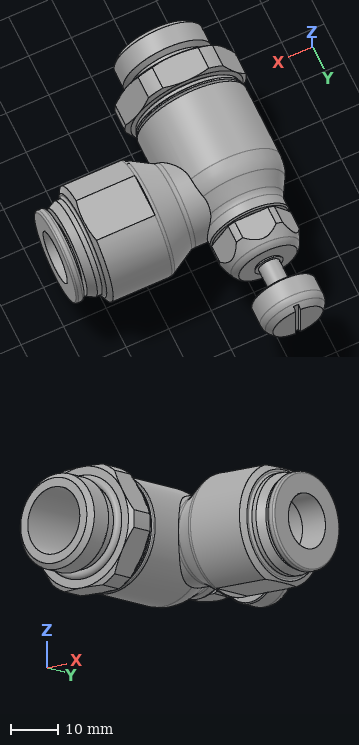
import cadquery as cq
import math


THREAD_R = 10.45
THREAD_NECK_R = 9.3
THREAD_TIP = 1.15
THREAD_TOP = 5.75
GROOVE_BOTTOM = 6.75
SEAL_SECTION_R = 1.0

HEX_BOTTOM = 9.0
HEX_TOP = 15.55
HEX_FLATS = 26.4
HEX_CORNER_R = 14.3
HEX_CHAMFER = 0.65

HEX_NECK_R = 11.6
STEP_BOTTOM = 15.9
STEP_R = 12.2
STEP_TOP = 16.8
BARREL_R = 12.9
BARREL_LEAD_R = 12.6
BARREL_LEAD_TOP = 17.25
BARREL_BEVEL_R = 12.8
BARREL_BEVEL_Y = 17.6
BARREL_BOTTOM = 18.0
BARREL_TOP = 35.3
SHOULDER_R = 11.7
SHOULDER_Y = 39.7
CONE_TOP_R = 9.8
CONE_TOP = 43.0
COLLAR_R = 9.3
COLLAR_BOTTOM = 44.6
COLLAR_TOP = 47.2
COLLAR_CHAMFER = 0.35

CAP_NECK_R = 7.7
CAP_BOTTOM = 47.65
CAP_FLATS = 17.05
CAP_CORNER_R = 9.4
CAP_CONE_BOTTOM = 51.75
CAP_CONE_R = 8.1
CAP_CONE_TOP = 54.7
CAP_TOP_R = 6.9
CAP_TOP = 56.0

STEM_RING_BOTTOM_R = 3.0
STEM_RING_R = 3.35
STEM_RING_TOP = 56.5
STEM_R = 2.5
KNOB_R = 7.5
KNOB_BOTTOM = 63.5
KNOB_CHAMFER = 0.3
KNOB_SIDE_TOP = 67.95
KNOB_BEND_R = 7.0
KNOB_BEND_Y = 69.65
KNOB_TOP_R = 5.9
KNOB_TOP = 71.0
SLOT_WIDTH = 1.15
SLOT_DEPTH = 0.9

PORT_Y = 35.6
PORT_NECK_R = 9.9
PORT_NECK_END = 12.1
PORT_CONE_START = 13.1
PORT_CONE_START_R = 10.15
PORT_CONE_END = 18.5
PORT_CONE_END_R = 13.3
PORT_R = 13.5
PORT_START = 19.3
PORT_END = 33.1
PORT_FLATS = 25.0
PORT_FACE = 33.95
PORT_FACE_R = 12.1
PORT_ROOT_R = 11.6
SLEEVE_R = 11.15
SLEEVE_START = 34.6
SLEEVE_END = 35.7
SLEEVE_TIP = 37.6
SLEEVE_TIP_R = 10.15
COLLET_NECK_R = 7.5
COLLET_BACK = 38.4
COLLET_BACK_ROUND = 0.65
COLLET_R = 10.8
COLLET_FRONT_ROUND = 0.4
COLLET_FRONT = 40.4

BORE_R = 7.3
BORE_TIP = 3.4
TUBE_R = 6.0


def revolve_y(profile):
    """Revolve a closed profile of (radius, y) about the Y axis."""
    return profile.close().revolve(360, (0, 0, 0), (0, 1, 0))


def hexagon(flats, bottom, top):
    """Hexagonal prism along Y with two of its corners on the X axis."""
    corner_diameter = flats / math.cos(math.radians(30))
    plane = cq.Workplane("XZ", origin=(0, bottom, 0))
    return plane.polygon(6, corner_diameter).extrude(bottom - top)


def make_screw_in_end():
    seal_lowest = (THREAD_NECK_R + SEAL_SECTION_R, HEX_BOTTOM - SEAL_SECTION_R)
    seal_outer = (THREAD_NECK_R + 2 * SEAL_SECTION_R, HEX_BOTTOM)
    profile = (
        cq.Workplane("XY")
        .lineTo(THREAD_NECK_R, 0)
        .lineTo(THREAD_R, THREAD_TIP)
        .lineTo(THREAD_R, THREAD_TOP)
        .lineTo(THREAD_NECK_R, GROOVE_BOTTOM)
        .lineTo(THREAD_NECK_R, HEX_BOTTOM)
        .threePointArc(seal_lowest, seal_outer)
        .lineTo(0, HEX_BOTTOM)
    )
    return revolve_y(profile)


def make_large_hexagon():
    face_r = HEX_FLATS / 2
    envelope = (
        cq.Workplane("XY")
        .moveTo(0, HEX_BOTTOM)
        .lineTo(face_r, HEX_BOTTOM)
        .lineTo(HEX_CORNER_R, HEX_BOTTOM + HEX_CHAMFER)
        .lineTo(HEX_CORNER_R, HEX_TOP - HEX_CHAMFER)
        .lineTo(face_r, HEX_TOP)
        .lineTo(0, HEX_TOP)
    )
    return hexagon(HEX_FLATS, HEX_BOTTOM, HEX_TOP).intersect(revolve_y(envelope))


def make_barrel():
    profile = (
        cq.Workplane("XY")
        .moveTo(0, HEX_TOP)
        .lineTo(HEX_NECK_R, HEX_TOP)
        .lineTo(HEX_NECK_R, STEP_BOTTOM)
        .lineTo(STEP_R, STEP_BOTTOM)
        .lineTo(STEP_R, STEP_TOP)
        .lineTo(BARREL_LEAD_R, STEP_TOP)
        .lineTo(BARREL_LEAD_R, BARREL_LEAD_TOP)
        .lineTo(BARREL_BEVEL_R, BARREL_BEVEL_Y)
        .lineTo(BARREL_R, BARREL_BOTTOM)
        .lineTo(BARREL_R, BARREL_TOP)
        .tangentArcPoint((SHOULDER_R, SHOULDER_Y), relative=False)
        .lineTo(CONE_TOP_R, CONE_TOP)
        .tangentArcPoint((COLLAR_R, COLLAR_BOTTOM), relative=False)
        .lineTo(COLLAR_R, COLLAR_TOP - COLLAR_CHAMFER)
        .lineTo(COLLAR_R - COLLAR_CHAMFER, COLLAR_TOP)
        .lineTo(CAP_NECK_R, COLLAR_TOP)
        .lineTo(CAP_NECK_R, CAP_BOTTOM)
        .lineTo(0, CAP_BOTTOM)
    )
    return revolve_y(profile)


def make_cap():
    envelope = (
        cq.Workplane("XY")
        .moveTo(0, CAP_BOTTOM)
        .lineTo(CAP_CORNER_R, CAP_BOTTOM)
        .lineTo(CAP_CORNER_R, CAP_CONE_BOTTOM)
        .lineTo(CAP_CONE_R, CAP_CONE_TOP)
        .tangentArcPoint((CAP_TOP_R, CAP_TOP), relative=False)
        .lineTo(0, CAP_TOP)
    )
    return hexagon(CAP_FLATS, CAP_BOTTOM, CAP_TOP).intersect(revolve_y(envelope))


def make_knob():
    profile = (
        cq.Workplane("XY")
        .moveTo(0, CAP_TOP)
        .lineTo(STEM_RING_BOTTOM_R, CAP_TOP)
        .lineTo(STEM_RING_R, STEM_RING_TOP)
        .lineTo(STEM_R, STEM_RING_TOP)
        .lineTo(STEM_R, KNOB_BOTTOM)
        .lineTo(KNOB_R - KNOB_CHAMFER, KNOB_BOTTOM)
        .lineTo(KNOB_R, KNOB_BOTTOM + KNOB_CHAMFER)
        .lineTo(KNOB_R, KNOB_SIDE_TOP)
        .tangentArcPoint((KNOB_BEND_R, KNOB_BEND_Y), relative=False)
        .tangentArcPoint((KNOB_TOP_R, KNOB_TOP), relative=False)
        .lineTo(0, KNOB_TOP)
    )
    slot = cq.Workplane("XY").box(SLOT_WIDTH, 2 * SLOT_DEPTH, 2 * KNOB_R)
    return revolve_y(profile).cut(slot.translate((0, KNOB_TOP, 0)))


def port_profile():
    """Sketch start for a profile of (x, radius), with its origin on the port axis."""
    return cq.Workplane("XY", origin=(0, PORT_Y, 0))


def revolve_port(profile):
    """Revolve a closed profile of (x, radius) about the port axis."""
    return profile.close().revolve(360, (0, 0, 0), (1, 0, 0))


def make_port_shell():
    profile = (
        port_profile()
        .lineTo(0, PORT_NECK_R)
        .lineTo(PORT_NECK_END, PORT_NECK_R)
        .tangentArcPoint((PORT_CONE_START, PORT_CONE_START_R), relative=False)
        .lineTo(PORT_CONE_END, PORT_CONE_END_R)
        .tangentArcPoint((PORT_START, PORT_R), relative=False)
        .lineTo(PORT_END, PORT_R)
        .lineTo(PORT_FACE, PORT_FACE_R)
        .lineTo(PORT_FACE, PORT_ROOT_R)
        .tangentArcPoint((SLEEVE_START, SLEEVE_R), relative=False)
        .lineTo(SLEEVE_END, SLEEVE_R)
        .lineTo(SLEEVE_TIP, SLEEVE_TIP_R)
        .lineTo(SLEEVE_TIP, 0)
    )
    shell = revolve_port(profile)
    flat_length = PORT_FACE - PORT_START
    flat_depth = PORT_R - PORT_FLATS / 2
    for side in (1, -1):
        trim = cq.Workplane("XY").box(flat_length, 2 * PORT_R, flat_depth)
        flat_z = side * (PORT_FLATS + flat_depth) / 2
        shell = shell.cut(trim.translate((PORT_START + flat_length / 2, PORT_Y, flat_z)))
    return shell


def make_collet():
    profile = (
        port_profile()
        .moveTo(SLEEVE_TIP, 0)
        .lineTo(SLEEVE_TIP, COLLET_NECK_R)
        .lineTo(COLLET_BACK, COLLET_NECK_R)
        .lineTo(COLLET_BACK, COLLET_R - COLLET_BACK_ROUND)
        .tangentArcPoint((COLLET_BACK_ROUND, COLLET_BACK_ROUND))
        .lineTo(COLLET_FRONT - COLLET_FRONT_ROUND, COLLET_R)
        .tangentArcPoint((COLLET_FRONT_ROUND, -COLLET_FRONT_ROUND))
        .lineTo(COLLET_FRONT, 0)
    )
    return revolve_port(profile)


def make_body_bore():
    profile = (
        cq.Workplane("XY")
        .lineTo(BORE_R, 0)
        .lineTo(BORE_R, PORT_Y)
        .lineTo(0, PORT_Y + BORE_TIP)
    )
    return revolve_y(profile)


def make_port_bore():
    """Conical tip past the body axis, wide bore, then the tube mouth."""
    profile = (
        port_profile()
        .moveTo(-BORE_TIP, 0)
        .lineTo(0, BORE_R)
        .lineTo(PORT_FACE, BORE_R)
        .lineTo(PORT_FACE, TUBE_R)
        .lineTo(COLLET_FRONT, TUBE_R)
        .lineTo(COLLET_FRONT, 0)
    )
    return revolve_port(profile)


body = make_screw_in_end()
for section in (
    make_large_hexagon(),
    make_barrel(),
    make_cap(),
    make_knob(),
    make_port_shell(),
    make_collet(),
):
    body = body.union(section)

result = body.cut(make_body_bore()).cut(make_port_bore())